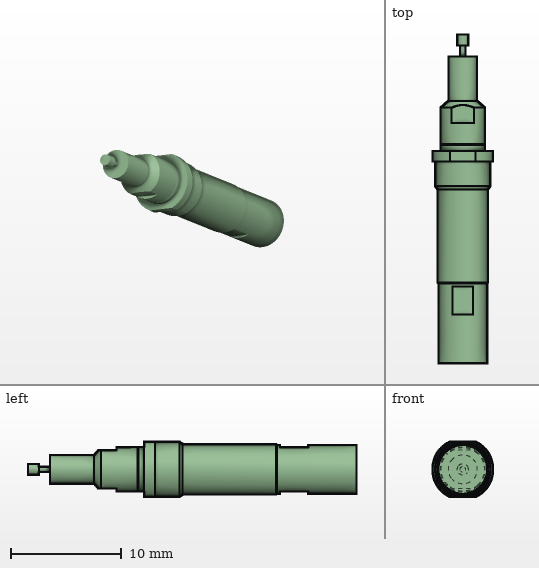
import cadquery as cq

LENGTH = 29.7
HEAD_END = 1.0
NECK_END = 2.0
FERRULE_END = 6.0
NUT_CONE_END = 6.62
NUT_END = 9.98
FLANGE_START = 10.5
FLANGE_END = 11.5
SHOULDER_END = 13.7
SHOULDER_TAPER_END = 14.0
BARREL_END = 22.48

HEAD_DIAMETER = 1.0
NECK_DIAMETER = 0.5
FERRULE_DIAMETER = 2.6
NUT_DIAMETER = 4.05
COLLAR_DIAMETER = NUT_DIAMETER
NUT_BEVEL_DIAMETER = 3.92
FLANGE_DIAMETER = 5.5
SHOULDER_DIAMETER = 5.0
BARREL_DIAMETER = 4.57
TAIL_DIAMETER = 4.43

NUT_BEVEL_LENGTH = 0.1
BARREL_BEVEL_LENGTH = 0.1

NUT_FLAT_END = 8.0
NUT_ACROSS_FLATS = 3.47
FLANGE_ACROSS_FLATS = SHOULDER_DIAMETER
TAIL_FLAT_START = 22.78
TAIL_FLAT_END = 25.3
TAIL_ACROSS_FLATS = 4.0

TIP_Y = LENGTH / 2


def turned_section(start, end, start_diameter, end_diameter):
    """Solid cylinder or cone about the Y axis between two stations."""
    start_y = TIP_Y - start
    end_y = TIP_Y - end
    outline = [
        (0, start_y),
        (start_diameter / 2, start_y),
        (end_diameter / 2, end_y),
        (0, end_y),
    ]
    return cq.Workplane("XY").polyline(outline).close().revolve(360, (0, 0), (0, 1))


def cut_flats(body, start, end, across_flats):
    """Mill two flats facing +Z and -Z between two stations."""
    centre_y = TIP_Y - (start + end) / 2
    depth = FLANGE_DIAMETER
    for side in (1, -1):
        centre_z = side * (across_flats + depth) / 2
        cutter = cq.Workplane("XY").box(FLANGE_DIAMETER, end - start, depth)
        body = body.cut(cutter.translate((0, centre_y, centre_z)))
    return body


NUT_BEVEL_START = NUT_END - NUT_BEVEL_LENGTH
BARREL_BEVEL_START = BARREL_END - BARREL_BEVEL_LENGTH

sections = [
    (0, HEAD_END, HEAD_DIAMETER, HEAD_DIAMETER),
    (HEAD_END, NECK_END, NECK_DIAMETER, NECK_DIAMETER),
    (NECK_END, FERRULE_END, FERRULE_DIAMETER, FERRULE_DIAMETER),
    (FERRULE_END, NUT_CONE_END, FERRULE_DIAMETER, NUT_DIAMETER),
    (NUT_CONE_END, NUT_BEVEL_START, NUT_DIAMETER, NUT_DIAMETER),
    (NUT_BEVEL_START, NUT_END, NUT_DIAMETER, NUT_BEVEL_DIAMETER),
    (NUT_END, FLANGE_START, COLLAR_DIAMETER, COLLAR_DIAMETER),
    (FLANGE_START, FLANGE_END, FLANGE_DIAMETER, FLANGE_DIAMETER),
    (FLANGE_END, SHOULDER_END, SHOULDER_DIAMETER, SHOULDER_DIAMETER),
    (SHOULDER_END, SHOULDER_TAPER_END, SHOULDER_DIAMETER, BARREL_DIAMETER),
    (SHOULDER_TAPER_END, BARREL_BEVEL_START, BARREL_DIAMETER, BARREL_DIAMETER),
    (BARREL_BEVEL_START, BARREL_END, BARREL_DIAMETER, TAIL_DIAMETER),
    (BARREL_END, LENGTH, TAIL_DIAMETER, TAIL_DIAMETER),
]

result = turned_section(*sections[0])
for section in sections[1:]:
    result = result.union(turned_section(*section))

result = cut_flats(result, FERRULE_END, NUT_FLAT_END, NUT_ACROSS_FLATS)
result = cut_flats(result, FLANGE_START, FLANGE_END, FLANGE_ACROSS_FLATS)
result = cut_flats(result, TAIL_FLAT_START, TAIL_FLAT_END, TAIL_ACROSS_FLATS)